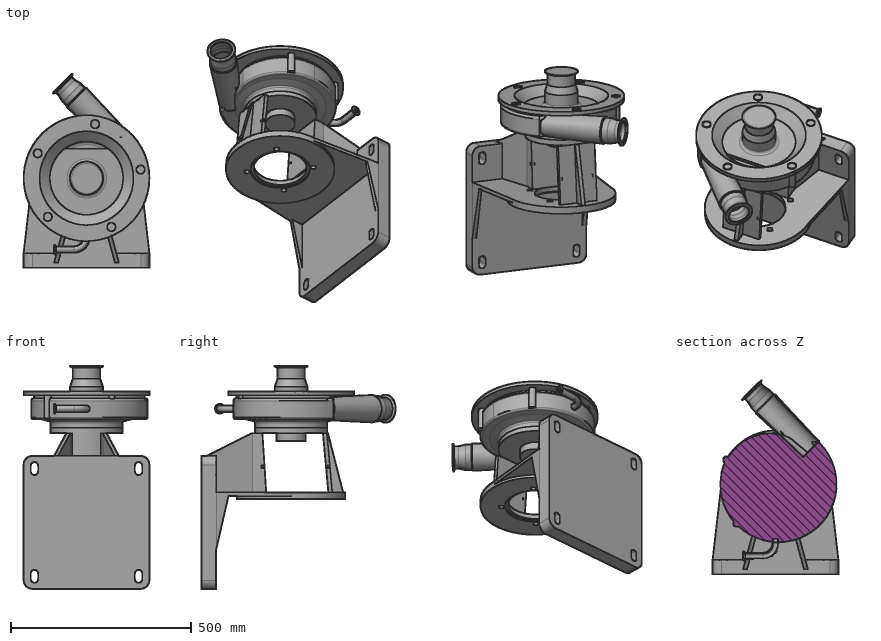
import cadquery as cq
import math

overall_height = 620.5

mount_width = 350.0
mount_height = 370.0
mount_thickness = 41.0
mount_outer_y = -249.5
mount_inner_y = mount_outer_y + mount_thickness
mount_corner_radius = 25.0
slot_width = 20.0
slot_length = 35.5
slot_half_spacing = 144.5
slot_edge_distance = 35.5

deck_top_z = 268.5
deck_thickness = 10.5
ring_thickness = 19.0
ring_radius = 151.0
ring_bore_radius = 74.0
ring_spigot_radius = 82.0
ring_spigot_depth = 5.0
ring_bolt_circle_radius = 92.5
ring_bolt_hole_radius = 7.5
ring_bolt_count = 4
ring_first_bolt_angle = 45.0

joint_z = 448.0
seat_radius = 100.5
seat_thickness = 15.0
seat_bottom_z = joint_z - seat_thickness

wall_half_width = 56.0
pin_hole_radius = 4.05
pin_hole_depth = 9.0
pin_hole_z = 339.5

rear_wall_thickness = 11.0
rear_wall_top_y = 88.0
rear_wall_bottom_y = 103.0
rear_rib_thickness = 11.0
rear_rib_top_y = 102.5
rear_rib_bottom_y = 144.5
rear_pin_y = 102.5

front_wall_top_y = -79.5
front_wall_bottom_y = -69.0
front_pin_y = -79.5
cheek_bend_y = -108.5
cheek_end_y = -234.5
cheek_end_half_width = 90.0
cheek_thickness = 11.0
filling_root_half_width = 40.0

lower_rib_thickness = 12.5
lower_rib_reach_y = -174.0
lower_rib_bottom_z = 107.0

flange_radius = mount_width / 2
flange_top_z = 549.0
flange_thickness = 11.0
flange_bottom_z = flange_top_z - flange_thickness
bolt_count = 5
bolt_circle_radius = 152.0
first_bolt_angle = 9.0
bolt_recess_radius = 12.0
bolt_recess_depth = 2.5
boss_radius = 10.0
boss_bottom_z = 474.5

dish_rim_radius = 130.0
dish_floor_radius = 102.0
dish_floor_z = 523.0
pocket_depth = 8.0
pocket_chord_y = 82.0

casing_radius = 162.0
casing_centre = (8.0, 2.0)
tongue_radius = 141.5
casing_top_z = 530.0
casing_bottom_z = 471.5
casing_top_round = 7.0
casing_bottom_round = 5.5
casing_neck_inset = 8.0
underside_radius = 127.0

hub_top_z = 466.0
hub_fillet = 4.5
stub_radius = 41.0
stub_bottom_z = 411.0

inlet_flange_radius = 46.5
inlet_neck_radius = 38.5
inlet_body_radius = 46.0
inlet_neck_z = 583.0
inlet_body_z = 562.0
inlet_root_fillet = 8.5

port_z = 501.0
outlet_angle = 135.0
outlet_offset = 139.0
outlet_tip = 234.0
outlet_neck_start = 217.0
outlet_body_start = 197.5
outlet_cone_end = 178.0
outlet_flange_radius = 39.0
outlet_neck_radius = 31.5
outlet_body_radius = 36.0
outlet_root_radius = 32.0
outlet_cone_radius = 38.5
outlet_wall = 2.0

ferrule_rim = 2.5
ferrule_bevel_width = 4.5
ferrule_bevel_height = 1.0
ferrule_taper = 4.0

drain_y = -198.0
drain_tip_x = -90.5
drain_bend_x = -35.0
drain_bend_radius = -drain_bend_x
drain_radius = 9.0
drain_bore_radius = 7.0
drain_flange_radius = 13.5


def disc(radius, bottom_z, top_z, centre=(0, 0)):
    return cq.Workplane("XY", origin=(*centre, bottom_z)).circle(radius).extrude(top_z - bottom_z)


def turned(radius_height_points):
    """Solid of revolution about Z from a (radius, height) outline."""
    return cq.Workplane("XZ").polyline(radius_height_points).close().revolve(360, (0, 0), (0, 1))


def x_prism(side_points, x_start, x_end):
    """Prism along X from a (Y, Z) outline."""
    return cq.Workplane("YZ", origin=(x_start, 0, 0)).polyline(side_points).close().extrude(x_end - x_start)


def mirrored_prism(half_plan, bottom_z, top_z):
    """Prism along Z from the +X half of a plan that is symmetric in X."""
    other_half = [(-x, y) for x, y in reversed(half_plan)]
    plan = cq.Workplane("XY", origin=(0, 0, bottom_z)).polyline(half_plan + other_half).close()
    return plan.extrude(top_z - bottom_z)


def mounting_plate():
    middle_z = mount_height / 2
    plate = (
        cq.Workplane("XZ", origin=(0, mount_inner_y, middle_z))
        .rect(mount_width, mount_height)
        .extrude(mount_thickness)
        .edges("|Y")
        .fillet(mount_corner_radius)
    )
    slot_half_height = middle_z - slot_edge_distance
    slots = (
        cq.Workplane("XZ", origin=(0, mount_inner_y, middle_z))
        .rect(2 * slot_half_spacing, 2 * slot_half_height, forConstruction=True)
        .vertices()
        .slot2D(slot_length, slot_width, 90)
        .extrude(mount_thickness)
    )
    return plate.cut(slots)


def deck_outline(bottom_z, top_z):
    """Half-round plan that widens in straight lines to the mounting plate."""
    half_width = mount_width / 2
    return (
        cq.Workplane("XY", origin=(0, 0, bottom_z))
        .moveTo(ring_radius, 0)
        .threePointArc((0, ring_radius), (-ring_radius, 0))
        .lineTo(-half_width, mount_inner_y)
        .lineTo(half_width, mount_inner_y)
        .close()
        .extrude(top_z - bottom_z)
    )


def deck():
    plate = deck_outline(deck_top_z - deck_thickness, deck_top_z)
    return plate.union(disc(ring_radius, deck_top_z - ring_thickness, deck_top_z))


def deck_holes():
    bottom_z = deck_top_z - ring_thickness
    holes = (
        cq.Workplane("XY", origin=(0, 0, bottom_z))
        .polarArray(ring_bolt_circle_radius, ring_first_bolt_angle, 360, ring_bolt_count)
        .circle(ring_bolt_hole_radius)
        .extrude(ring_thickness)
    )
    spigot = disc(ring_spigot_radius, bottom_z, bottom_z + ring_spigot_depth)
    return holes.union(disc(ring_bore_radius, bottom_z, deck_top_z)).union(spigot)


def lower_ribs():
    """Triangular ribs under the deck, flush with its slanted sides."""
    deck_bottom_z = deck_top_z - deck_thickness
    side = [
        (mount_inner_y, deck_bottom_z),
        (lower_rib_reach_y, deck_bottom_z),
        (mount_inner_y, lower_rib_bottom_z),
    ]
    half_width = mount_width / 2
    inner = half_width - lower_rib_thickness
    wedge = x_prism(side, -half_width, half_width).cut(x_prism(side, -inner, inner))
    return wedge.intersect(deck_outline(lower_rib_bottom_z, deck_bottom_z))


def rear_leg():
    wall = x_prism(
        [
            (rear_wall_bottom_y, deck_top_z),
            (rear_wall_bottom_y + rear_wall_thickness, deck_top_z),
            (rear_wall_top_y + rear_wall_thickness, seat_bottom_z),
            (rear_wall_top_y, seat_bottom_z),
        ],
        -wall_half_width,
        wall_half_width,
    )
    rib = x_prism(
        [
            (rear_wall_bottom_y, deck_top_z),
            (rear_rib_bottom_y, deck_top_z),
            (rear_rib_top_y, seat_bottom_z),
            (rear_wall_top_y, seat_bottom_z),
        ],
        -rear_rib_thickness / 2,
        rear_rib_thickness / 2,
    )
    return wall.union(rib)


def front_leg():
    """Column under the seat, joined to the mounting plate by two cheeks and a solid filling."""
    column = x_prism(
        [
            (front_wall_bottom_y, deck_top_z),
            (-seat_radius, deck_top_z),
            (-seat_radius, seat_bottom_z),
            (front_wall_top_y, seat_bottom_z),
        ],
        -wall_half_width,
        wall_half_width,
    ).intersect(disc(seat_radius, deck_top_z, seat_bottom_z))

    cheek_side = [
        (front_wall_bottom_y, deck_top_z),
        (mount_inner_y, deck_top_z),
        (mount_inner_y, mount_height),
        (cheek_end_y, mount_height),
        (cheek_bend_y, seat_bottom_z),
        (front_wall_top_y, seat_bottom_z),
    ]
    side_block = x_prism(cheek_side, -cheek_end_half_width, cheek_end_half_width)
    outer_plan = [
        (wall_half_width, front_wall_bottom_y),
        (wall_half_width, cheek_bend_y),
        (cheek_end_half_width, cheek_end_y),
    ]
    bay_plan = [
        (filling_root_half_width, front_wall_bottom_y),
        (filling_root_half_width, -math.sqrt(seat_radius**2 - filling_root_half_width**2)),
        (wall_half_width - cheek_thickness, cheek_bend_y),
        (cheek_end_half_width - cheek_thickness, cheek_end_y),
    ]
    cheeks = mirrored_prism(outer_plan, deck_top_z, seat_bottom_z).intersect(side_block)
    bay = mirrored_prism(bay_plan, mount_height, seat_bottom_z)
    return cheeks.cut(bay).union(column)


def pin_holes():
    """Blind holes in both side faces of each leg."""
    holes = cq.Workplane()
    for y in (rear_pin_y, front_pin_y):
        for start_x in (-wall_half_width, wall_half_width - pin_hole_depth):
            holes = holes.add(
                cq.Workplane("YZ", origin=(start_x, y, pin_hole_z))
                .circle(pin_hole_radius)
                .extrude(pin_hole_depth)
            )
    return holes.combine()


def make_bracket():
    bracket = (
        mounting_plate()
        .union(deck())
        .union(lower_ribs())
        .union(rear_leg())
        .union(front_leg())
        .union(disc(seat_radius, seat_bottom_z, joint_z))
    )
    bracket = bracket.cut(disc(stub_radius, seat_bottom_z, joint_z)).cut(deck_holes())
    return bracket.cut(pin_holes())


def ferrule_points(rim_radius, tube_radius, tip):
    """Outline of a clamp ferrule, from the tube out to the rim and up to the tip face."""
    return [
        (tube_radius, tip - ferrule_rim - ferrule_taper),
        (rim_radius, tip - ferrule_rim),
        (rim_radius, tip - ferrule_bevel_height),
        (rim_radius - ferrule_bevel_width, tip),
    ]


def volute_plan(bottom_z):
    """Main arc from the outlet round to the -X side, then a tangent quarter arc to the tongue."""
    diagonal = math.sqrt(0.5)
    centre_x, centre_y = casing_centre
    tongue_x = centre_x - casing_radius + tongue_radius
    return (
        cq.Workplane("XY", origin=(0, 0, bottom_z))
        .moveTo(centre_x + casing_radius * diagonal, centre_y + casing_radius * diagonal)
        .threePointArc((centre_x, centre_y - casing_radius), (centre_x - casing_radius, centre_y))
        .threePointArc(
            (tongue_x - tongue_radius * diagonal, centre_y + tongue_radius * diagonal),
            (tongue_x, centre_y + tongue_radius),
        )
        .close()
    )


def casing():
    volute = (
        volute_plan(casing_bottom_z)
        .extrude(casing_top_z - casing_bottom_z)
        .faces(">Z")
        .edges()
        .fillet(casing_top_round)
        .faces("<Z")
        .edges()
        .fillet(casing_bottom_round)
    )
    neck = volute_plan(casing_top_z).offset2D(-casing_neck_inset).extrude(flange_bottom_z - casing_top_z)
    underside = turned(
        [
            (0, casing_bottom_z),
            (underside_radius, casing_bottom_z),
            (seat_radius + hub_fillet, hub_top_z),
            (0, hub_top_z),
        ]
    )
    return volute.union(neck).union(underside)


def hub_and_stub():
    """Hub with a hollow round up to the casing, and the shaft stub below it."""
    round_start_z = hub_top_z - hub_fillet
    round_middle = hub_fillet * (1 - math.sqrt(0.5))
    return (
        cq.Workplane("XZ")
        .moveTo(0, stub_bottom_z)
        .lineTo(stub_radius, stub_bottom_z)
        .lineTo(stub_radius, joint_z)
        .lineTo(seat_radius, joint_z)
        .lineTo(seat_radius, round_start_z)
        .threePointArc(
            (seat_radius + round_middle, hub_top_z - round_middle),
            (seat_radius + hub_fillet, hub_top_z),
        )
        .lineTo(0, hub_top_z)
        .close()
        .revolve(360, (0, 0), (0, 1))
    )


def bolt_stations(start_z):
    return cq.Workplane("XY", origin=(0, 0, start_z)).polarArray(
        bolt_circle_radius, first_bolt_angle, 360, bolt_count
    )


def dish():
    """Conical dish in the flange, with a deeper round-bottomed pocket behind a chord."""
    cone = turned(
        [
            (0, dish_floor_z),
            (dish_floor_radius, dish_floor_z),
            (dish_rim_radius, flange_top_z),
            (0, flange_top_z),
        ]
    )
    floor_edge_radius = dish_floor_radius - pocket_depth
    pocket_z = dish_floor_z - pocket_depth
    bulge = pocket_depth * math.sqrt(0.5)
    pocket = (
        cq.Workplane("XZ")
        .moveTo(0, pocket_z)
        .lineTo(floor_edge_radius, pocket_z)
        .threePointArc((floor_edge_radius + bulge, dish_floor_z - bulge), (dish_floor_radius, dish_floor_z))
        .lineTo(0, dish_floor_z)
        .close()
        .revolve(360, (0, 0), (0, 1))
    )
    behind_chord = (
        cq.Workplane("XY", origin=(0, pocket_chord_y + dish_floor_radius / 2, pocket_z))
        .rect(2 * dish_floor_radius, dish_floor_radius)
        .extrude(pocket_depth)
    )
    return cone.union(pocket.intersect(behind_chord))


def inlet():
    root_z = dish_floor_z + inlet_root_fillet
    round_middle = inlet_root_fillet * (1 - math.sqrt(0.5))
    root_radius = inlet_body_radius + inlet_root_fillet
    profile = (
        cq.Workplane("XZ")
        .moveTo(0, dish_floor_z)
        .lineTo(root_radius, dish_floor_z)
        .threePointArc(
            (inlet_body_radius + round_middle, dish_floor_z + round_middle),
            (inlet_body_radius, root_z),
        )
        .lineTo(inlet_body_radius, inlet_body_z)
        .lineTo(inlet_neck_radius, inlet_neck_z)
    )
    for point in ferrule_points(inlet_flange_radius, inlet_neck_radius, overall_height):
        profile = profile.lineTo(*point)
    return profile.lineTo(0, overall_height).close().revolve(360, (0, 0), (0, 1))


def along_outlet(shape):
    """Lay a solid turned about Z along the outlet axis."""
    angle = math.radians(outlet_angle)
    foot = (outlet_offset * math.sin(angle), -outlet_offset * math.cos(angle), port_z)
    return shape.rotate((0, 0, 0), (0, 1, 0), 90).rotate((0, 0, 0), (0, 0, 1), outlet_angle).translate(foot)


def outlet():
    step = outlet_cone_radius - outlet_body_radius
    outline = [
        (0, 0),
        (outlet_root_radius, 0),
        (outlet_cone_radius, outlet_cone_end),
        (outlet_body_radius, outlet_cone_end + step),
        (outlet_body_radius, outlet_body_start),
        (outlet_neck_radius, outlet_neck_start),
        *ferrule_points(outlet_flange_radius, outlet_neck_radius, outlet_tip),
        (0, outlet_tip),
    ]
    return along_outlet(turned(outline))


def outlet_bore():
    root = outlet_root_radius - outlet_wall
    body = outlet_body_radius - outlet_wall
    neck = outlet_neck_radius - outlet_wall
    outline = [
        (0, 0),
        (root, 0),
        (body, outlet_cone_end),
        (body, outlet_body_start),
        (neck, outlet_neck_start),
        (neck, outlet_tip),
        (0, outlet_tip),
    ]
    return along_outlet(turned(outline))


def drain_run(radius):
    """Round bar along the drain: straight in X, then a quarter bend into the casing."""
    centre_y = drain_y + drain_bend_radius
    diagonal = drain_bend_radius * math.sqrt(0.5)
    path = (
        cq.Workplane("XY", origin=(0, 0, port_z))
        .moveTo(drain_tip_x, drain_y)
        .lineTo(drain_bend_x, drain_y)
        .threePointArc(
            (drain_bend_x + diagonal, centre_y - diagonal),
            (drain_bend_x + drain_bend_radius, centre_y),
        )
        .lineTo(drain_bend_x + drain_bend_radius, casing_centre[1] - casing_radius + drain_radius)
    )
    return cq.Workplane("YZ", origin=(drain_tip_x, drain_y, port_z)).circle(radius).sweep(path)


def drain():
    rim_points = ferrule_points(drain_flange_radius, drain_radius, 0)
    ferrule = turned([(0, rim_points[0][1]), *rim_points, (0, 0)])
    ferrule = ferrule.rotate((0, 0, 0), (0, 1, 0), -90).translate((drain_tip_x, drain_y, port_z))
    return drain_run(drain_radius).union(ferrule)


def make_pump():
    bosses = bolt_stations(boss_bottom_z).circle(boss_radius).extrude(flange_bottom_z - boss_bottom_z)
    recesses = (
        bolt_stations(flange_top_z - bolt_recess_depth).circle(bolt_recess_radius).extrude(bolt_recess_depth)
    )
    pump = (
        casing()
        .union(disc(flange_radius, flange_bottom_z, flange_top_z))
        .union(bosses)
        .union(hub_and_stub())
        .union(outlet())
        .union(drain())
    )
    pump = pump.cut(dish()).cut(recesses).cut(outlet_bore()).cut(drain_run(drain_bore_radius))
    return pump.union(inlet())


bracket = make_bracket()
pump = make_pump()

result = cq.Compound.makeCompound([bracket.solids().val(), pump.solids().val()])